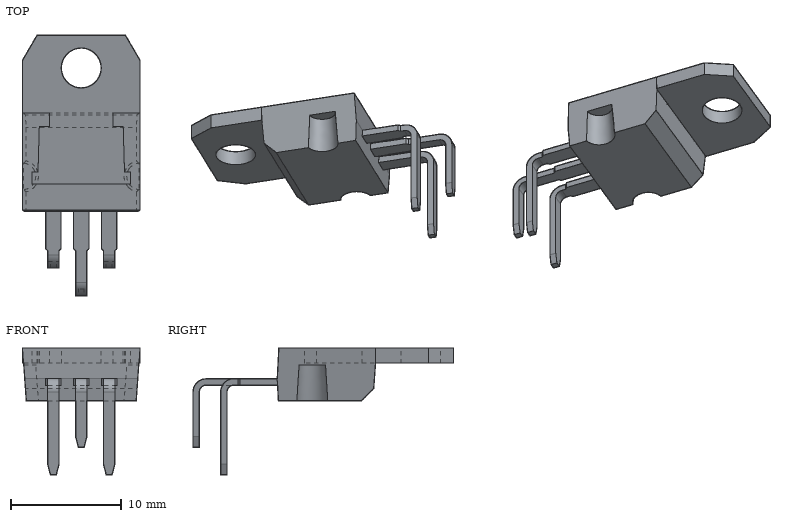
import cadquery as cq
import math


overall_length = 23.62
overall_height = 11.5

width = 10.65
half_width = width / 2
top_z = 2.79
bottom_z = -2.0
housing_back_y = 8.93
front_draft = math.tan(math.radians(3))
side_draft = math.tan(math.radians(4))
back_draft = math.tan(math.radians(4))
bottom_chamfer = 1.13

notch_y = 3.2
notch_top_depth = 1.55
notch_top_z = top_z - notch_top_depth
notch_top_radius = 1.2
notch_bottom_radius = 1.45

tab_thickness = 1.37
tab_bottom_z = top_z - tab_thickness
tab_end_y = 16.0
tab_corner_x = 1.32
tab_corner_y = 2.27
hole_diameter = 3.6
hole_y = 13.01
neck_half_width = 2.88
neck_length = 1.23
waist_back_half_width = 3.8
waist_front_half_width = 3.92
foot_half_width = 4.46
foot_back_y = 3.6
foot_front_y = 2.5

lead_pitch = 2.53
lead_thickness = 0.6
lead_wide = 1.42
lead_narrow = 1.05
lead_tip_width = 0.55
wide_length = 3.35
bend_radius = 1.2
tip_length = 0.97
outer_lead_reach = 5.13
middle_lead_reach = overall_length - tab_end_y
outer_lead_tip_z = top_z - overall_height
middle_lead_lift = 2.5
middle_lead_tip_z = outer_lead_tip_z + middle_lead_lift


def mirrored(right_side):
    """Close an outline about the line x = 0 from the points of its right half."""
    left_side = [(-x, y) for x, y in reversed(right_side)]
    return right_side + left_side


def make_tab():
    neck_front_y = housing_back_y - neck_length
    right_side = [
        (foot_half_width, foot_front_y),
        (foot_half_width, foot_back_y),
        (waist_front_half_width, foot_back_y),
        (waist_back_half_width, neck_front_y),
        (neck_half_width, neck_front_y),
        (neck_half_width, housing_back_y),
        (half_width, housing_back_y),
        (half_width, tab_end_y - tab_corner_y),
        (half_width - tab_corner_x, tab_end_y),
    ]
    plate = (
        cq.Workplane("XY", origin=(0, 0, tab_bottom_z))
        .polyline(mirrored(right_side)).close()
        .extrude(tab_thickness)
    )
    hole = (
        cq.Workplane("XY", origin=(0, hole_y, tab_bottom_z))
        .circle(hole_diameter / 2)
        .extrude(tab_thickness)
    )
    return plate.cut(hole).solids()


def make_notch(side):
    """Conical cutter centred on the top edge of one housing side, widening downwards."""
    return (
        cq.Workplane("XY", origin=(side * half_width, notch_y, bottom_z))
        .circle(notch_bottom_radius)
        .workplane(offset=notch_top_z - bottom_z)
        .circle(notch_top_radius)
        .loft(ruled=True)
    )


def make_housing(tab):
    chamfer_top_z = bottom_z + bottom_chamfer
    chamfer_top_y = housing_back_y - (tab_bottom_z - chamfer_top_z) * back_draft
    side_profile = (
        cq.Workplane("YZ")
        .polyline([
            (0, 0),
            (top_z * front_draft, top_z),
            (housing_back_y, top_z),
            (housing_back_y, tab_bottom_z),
            (chamfer_top_y, chamfer_top_z),
            (chamfer_top_y - bottom_chamfer, bottom_z),
            (-bottom_z * front_draft, bottom_z),
        ]).close()
        .extrude(half_width, both=True)
    )

    bottom_half_width = half_width - (top_z - bottom_z) * side_draft
    front_profile = (
        cq.Workplane("XZ")
        .polyline(mirrored([(bottom_half_width, bottom_z), (half_width, top_z)])).close()
        .extrude(-housing_back_y)
    )

    housing = side_profile.intersect(front_profile)
    for side in (-1, 1):
        housing = housing.cut(make_notch(side))
    return housing.cut(tab).solids()


def make_lead(x, reach, tip_z):
    """Lead that runs forward to y = -reach and then down to tip_z."""
    bend_y = bend_radius - reach
    bend_z = -bend_radius
    inner_radius = bend_radius - lead_thickness

    rear_y = lead_thickness * front_draft
    arm_side = (
        cq.Workplane("YZ")
        .polyline([
            (0, 0),
            (rear_y, -lead_thickness),
            (bend_y, -lead_thickness),
            (bend_y, 0),
        ]).close()
        .extrude(lead_wide / 2, both=True)
    )
    shoulder = (lead_wide - lead_narrow) / 2
    arm_outline = (
        cq.Workplane("XY", origin=(0, 0, -lead_thickness))
        .polyline(mirrored([
            (lead_narrow / 2, bend_y),
            (lead_narrow / 2, -wide_length - shoulder),
            (lead_wide / 2, -wide_length),
            (lead_wide / 2, rear_y),
        ])).close()
        .extrude(lead_thickness)
    )

    diagonal = math.sqrt(0.5)
    bend = (
        cq.Workplane("YZ")
        .moveTo(bend_y, 0)
        .threePointArc(
            (bend_y - bend_radius * diagonal, bend_z + bend_radius * diagonal),
            (-reach, bend_z),
        )
        .lineTo(-reach + lead_thickness, bend_z)
        .threePointArc(
            (bend_y - inner_radius * diagonal, bend_z + inner_radius * diagonal),
            (bend_y, -lead_thickness),
        )
        .close()
        .extrude(lead_narrow / 2, both=True)
    )

    leg = (
        cq.Workplane("XZ", origin=(0, -reach, 0))
        .polyline(mirrored([
            (lead_tip_width / 2, tip_z),
            (lead_narrow / 2, tip_z + tip_length),
            (lead_narrow / 2, bend_z),
        ])).close()
        .extrude(-lead_thickness)
    )

    lead = arm_side.intersect(arm_outline).union(bend).union(leg)
    return lead.translate((x, 0, 0)).solids()


tab = make_tab()
housing = make_housing(tab)

lead_places = [
    (-lead_pitch, outer_lead_reach, outer_lead_tip_z),
    (0, middle_lead_reach, middle_lead_tip_z),
    (lead_pitch, outer_lead_reach, outer_lead_tip_z),
]
leads = [make_lead(x, reach, tip_z) for x, reach, tip_z in lead_places]

result = cq.Compound.makeCompound([
    housing.val(),
    tab.val(),
    *[lead.val() for lead in leads],
])